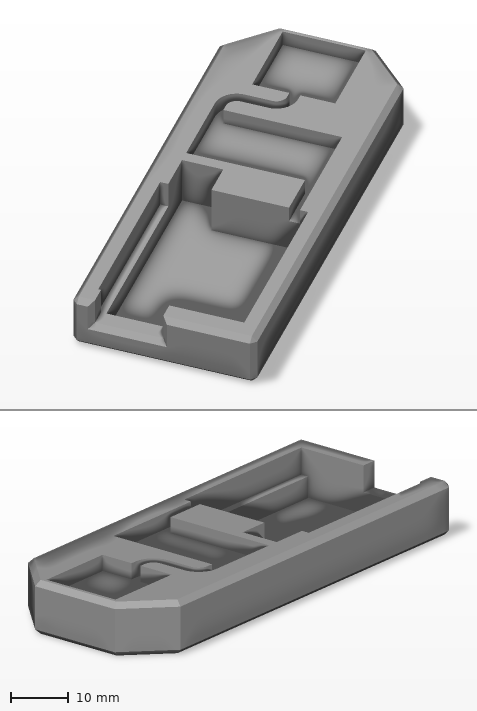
import cadquery as cq

WIDTH, LENGTH, HEIGHT = 34.0, 83.6, 10.0
BEVEL = 1.0
BACK_CORNER = 8.1

SHALLOW_FLOOR = HEIGHT - 3.0
LEDGE_FLOOR = HEIGHT / 2
DEEP_FLOOR = BEVEL

BACK_BAY_WIDTH = 15.4
BACK_BAY_FRONT, BACK_BAY_BACK = 66.4, 81.95

SIDE_WALL = 5.0
BAY_RIGHT = WIDTH - SIDE_WALL
MIDDLE_BAY_FRONT, MIDDLE_BAY_BACK = 44.65, 58.0
FRONT_WALL = 4.0
FRONT_BAY_BACK = 36.55
ALCOVE_WIDTH = 7.6
ALCOVE_BACK = 42.6
LEDGE_WALL = 3.5
LEFT_LEDGE_BACK = 35.5

CHANNEL_WIDTH = 2.0
BEND_RADIUS = 3.0
CHANNEL_CROSS_Y = 62.3
CHANNEL_BACK_X = 17.2
CHANNEL_FRONT_X = SIDE_WALL + CHANNEL_WIDTH / 2

NOTCH_LEFT, NOTCH_RIGHT = 4.0, 16.6


def pocket(left, right, front, back, floor):
    """Rectangular cutter from the given floor up to the top face."""
    size = (right - left, back - front, HEIGHT - floor)
    return cq.Workplane("XY").box(*size, centered=False).translate((left, front, floor))


def body():
    """Block with clipped back corners and bevelled outer edges."""
    block = cq.Workplane("XY").box(WIDTH, LENGTH, HEIGHT, centered=False)
    block = block.edges("|Z and >Y").chamfer(BACK_CORNER)
    return block.edges("(|Z and <Y) or <Z or >Z").chamfer(BEVEL)


def bent_channel():
    """S-shaped wire channel from the back bay to the middle bay."""
    left_bend_x = CHANNEL_FRONT_X + BEND_RADIUS
    right_bend_x = CHANNEL_BACK_X - BEND_RADIUS
    path = (
        cq.Workplane("XY", origin=(0, 0, SHALLOW_FLOOR))
        .moveTo(CHANNEL_FRONT_X, MIDDLE_BAY_BACK - CHANNEL_WIDTH)
        .lineTo(CHANNEL_FRONT_X, CHANNEL_CROSS_Y - BEND_RADIUS)
        .tangentArcPoint((left_bend_x, CHANNEL_CROSS_Y), relative=False)
        .lineTo(right_bend_x, CHANNEL_CROSS_Y)
        .tangentArcPoint((CHANNEL_BACK_X, CHANNEL_CROSS_Y + BEND_RADIUS), relative=False)
        .lineTo(CHANNEL_BACK_X, BACK_BAY_FRONT + CHANNEL_WIDTH)
    )
    section = cq.Workplane(
        "XZ", origin=(CHANNEL_FRONT_X, MIDDLE_BAY_BACK - CHANNEL_WIDTH, SHALLOW_FLOOR)
    ).rect(CHANNEL_WIDTH, 2 * (HEIGHT - SHALLOW_FLOOR))
    above_floor = pocket(0, WIDTH, 0, LENGTH, SHALLOW_FLOOR)
    return section.sweep(path).intersect(above_floor)


def notch():
    """Front opening, flaring by the bevel size at the outer face."""
    straight = pocket(NOTCH_LEFT, NOTCH_RIGHT, 0, FRONT_WALL, LEDGE_FLOOR)
    flare_height = HEIGHT - LEDGE_FLOOR + 3 * BEVEL
    flare = (
        cq.Workplane("XZ")
        .center((NOTCH_LEFT + NOTCH_RIGHT) / 2, LEDGE_FLOOR - BEVEL + flare_height / 2)
        .rect(NOTCH_RIGHT - NOTCH_LEFT + 2 * BEVEL, flare_height)
        .extrude(-BEVEL, taper=45)
    )
    return straight.union(flare)


bay_left = (WIDTH - BACK_BAY_WIDTH) / 2
alcove_right = SIDE_WALL + ALCOVE_WIDTH
ledge_right = WIDTH - LEDGE_WALL

cutters = [
    pocket(bay_left, bay_left + BACK_BAY_WIDTH, BACK_BAY_FRONT, BACK_BAY_BACK, SHALLOW_FLOOR),
    pocket(SIDE_WALL, BAY_RIGHT, MIDDLE_BAY_FRONT, MIDDLE_BAY_BACK, SHALLOW_FLOOR),
    pocket(BAY_RIGHT - CHANNEL_WIDTH, BAY_RIGHT, FRONT_BAY_BACK, MIDDLE_BAY_FRONT, SHALLOW_FLOOR),
    pocket(SIDE_WALL, BAY_RIGHT, FRONT_WALL, FRONT_BAY_BACK, DEEP_FLOOR),
    pocket(SIDE_WALL, alcove_right, FRONT_BAY_BACK, ALCOVE_BACK, DEEP_FLOOR),
    pocket(LEDGE_WALL, SIDE_WALL, FRONT_WALL, LEFT_LEDGE_BACK, LEDGE_FLOOR),
    pocket(BAY_RIGHT, ledge_right, FRONT_WALL, FRONT_BAY_BACK, LEDGE_FLOOR),
    bent_channel(),
    notch(),
]

result = body()
for cutter in cutters:
    result = result.cut(cutter)